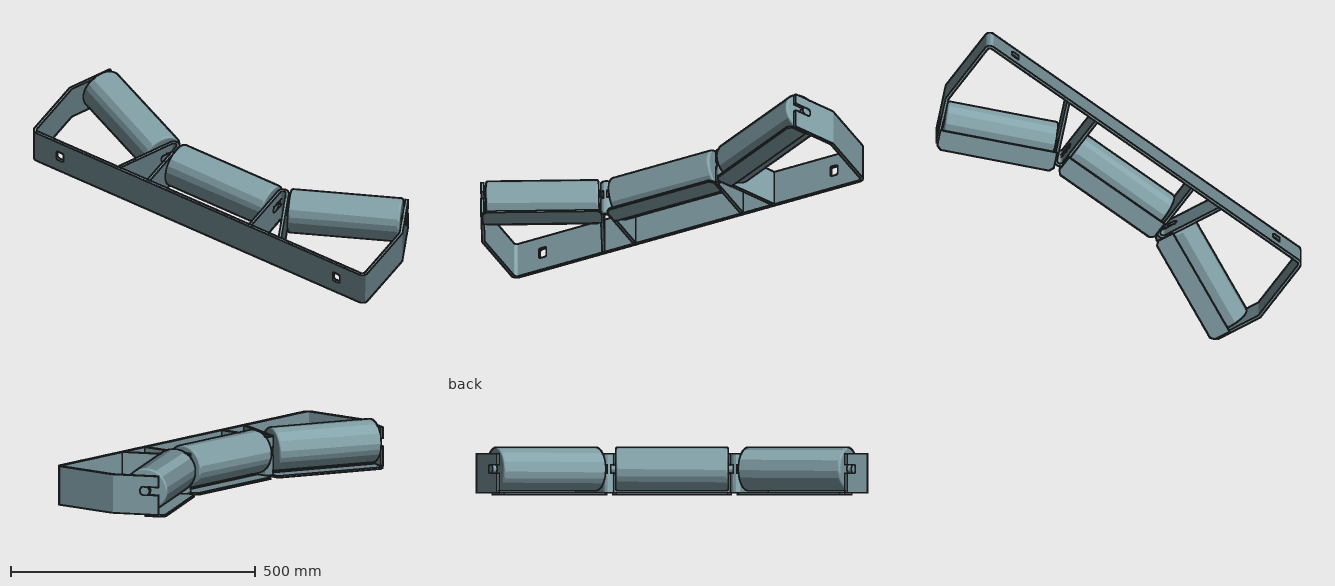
import cadquery as cq
import math

frame_length = 800.0
frame_height = 80.0
sheet = 6.0
bend_radius = 12.0
tilt = 25.0

mount_spacing = 664.0
mount_width = 17.0
mount_height = 24.0
mount_corner = 4.0
mount_z = 42.0

roller_diameter = 90.0
roller_length = 230.0
roller_edge_radius = 5.0
axle_diameter = 20.0
axle_flats = 17.0
axle_round_length = 235.0

sheet_gap = 238.0
axis_height = 49.0
middle_axis_y = 100.0
outer_axis_y = 158.0
bracket_bend_y = 118.0
arm_tip_reach = 29.0

plate_length = 243.0
plate_width = 42.0
plate_thickness = 4.0
plate_chamfer = 8.0

sin_tilt = math.sin(math.radians(tilt))
cos_tilt = math.cos(math.radians(tilt))
inner_bend_radius = bend_radius - sheet
inner_face = sheet_gap / 2
outer_face = inner_face + sheet
axle_length = 2 * outer_face

bracket_bend_x = inner_face + bend_radius
axis_rise = outer_axis_y - bracket_bend_y
outer_axis_x = bracket_bend_x + (bracket_bend_x - axis_rise * sin_tilt) / cos_tilt

stations = [
    (-outer_axis_x, outer_axis_y, -tilt),
    (0, middle_axis_y, 0),
    (outer_axis_x, outer_axis_y, tilt),
]


def at_station(body, station):
    """Move a body, drawn about the origin with its roller axis along X, to its station."""
    x, y, turn = station
    return body.rotate((0, 0, 0), (0, 0, 1), turn).translate((x, y, 0))


def axle_bar(length):
    """Round bar along X, centred at the axle height."""
    bar = cq.Workplane("YZ").circle(axle_diameter / 2).extrude(length)
    return bar.translate((-length / 2, 0, axis_height))


def flattened_axle():
    """Axle over its full length with a flat above and below."""
    flats = cq.Workplane("XY").box(axle_length, axle_diameter, axle_flats)
    return axle_bar(axle_length).intersect(flats.translate((0, 0, axis_height)))


def make_roller():
    """Cylinder with rounded ends, in one piece with its axle."""
    shell = cq.Workplane("YZ").circle(roller_diameter / 2).extrude(roller_length)
    shell = shell.edges().fillet(roller_edge_radius)
    shell = shell.translate((-roller_length / 2, 0, axis_height))
    return shell.union(axle_bar(axle_round_length)).union(flattened_axle())


def make_plate():
    """Flat plate below the rear half of a roller, with its two rear corners cut off."""
    plate = cq.Workplane("XY").rect(plate_length, plate_width).extrude(-plate_thickness)
    plate = plate.translate((0, plate_width / 2, 0))
    return plate.edges("|Z and >Y").chamfer(plate_chamfer)


def cut_axle_slots(body):
    """Cut the slots that hold the axles and are open to the rear."""
    mouth = cq.Workplane("XY").box(axle_length, roller_diameter, axle_flats, centered=(True, False, True))
    slot = flattened_axle().union(mouth.translate((0, 0, axis_height)))
    for station in stations:
        body = body.cut(at_station(slot, station))
    return body


def round_bends(bar, corners, radius):
    """Round the upright edges at the given corners and at their mirror images."""
    for x, y in corners:
        for side in (-1, 1):
            corner = (side * x, y, frame_height / 2)
            bar = bar.edges(cq.selectors.NearestToPointSelector(corner)).fillet(radius)
    return bar


def frame_bar():
    """Bent bar whose arms run along the outer ends of the outer rollers."""
    half = frame_length / 2
    bend_y = outer_axis_y + (outer_face - (half - outer_axis_x) * cos_tilt) / sin_tilt
    inner_bend_y = bend_y - sheet * math.tan(math.radians(tilt / 2))
    tip_x = outer_axis_x + outer_face * cos_tilt - arm_tip_reach * sin_tilt
    tip_y = outer_axis_y + outer_face * sin_tilt + arm_tip_reach * cos_tilt
    inner_tip = (tip_x - sheet * cos_tilt, tip_y - sheet * sin_tilt)
    right_side = [
        (half, 0),
        (half, bend_y),
        (tip_x, tip_y),
        inner_tip,
        (half - sheet, inner_bend_y),
        (half - sheet, sheet),
    ]
    left_side = [(-x, y) for x, y in reversed(right_side)]
    bar = cq.Workplane("XY").polyline(right_side + left_side).close().extrude(frame_height)
    outer_bends = [(half, 0), (half, bend_y)]
    inner_bends = [(half - sheet, sheet), (half - sheet, inner_bend_y)]
    bar = round_bends(bar, outer_bends, bend_radius)
    return round_bends(bar, inner_bends, inner_bend_radius)


def cut_mounting_slots(bar):
    cutter = (
        cq.Workplane("XZ", origin=(0, 0, mount_z))
        .pushPoints([(-mount_spacing / 2, 0), (mount_spacing / 2, 0)])
        .rect(mount_width, mount_height)
        .extrude(-sheet)
        .edges("|Y")
        .fillet(mount_corner)
    )
    return bar.cut(cutter)


def make_bracket():
    """Left bracket: an upright leg by the middle roller, a bend and a leaning leg."""

    def on_bend(radius, angle):
        turn = math.radians(angle)
        return (-bracket_bend_x + radius * math.cos(turn), bracket_bend_y + radius * math.sin(turn))

    def leg_foot(radius):
        """Point where a face of the leaning leg meets the back of the frame bar."""
        x, y = on_bend(radius, 180 - tilt)
        return (x - (y - sheet) * sin_tilt / cos_tilt, sheet)

    crown = 90 - tilt / 2
    bracket = (
        cq.Workplane("XY")
        .moveTo(-inner_face, sheet)
        .lineTo(*on_bend(bend_radius, 0))
        .threePointArc(on_bend(bend_radius, crown), on_bend(bend_radius, 180 - tilt))
        .lineTo(*leg_foot(bend_radius))
        .lineTo(*leg_foot(inner_bend_radius))
        .lineTo(*on_bend(inner_bend_radius, 180 - tilt))
        .threePointArc(on_bend(inner_bend_radius, crown), on_bend(inner_bend_radius, 0))
        .lineTo(-outer_face, sheet)
        .close()
        .extrude(frame_height)
    )
    return cut_axle_slots(bracket)


frame = cut_axle_slots(cut_mounting_slots(frame_bar()))
left_bracket = make_bracket()
brackets = [left_bracket, left_bracket.mirror("YZ")]
rollers = [at_station(make_roller(), station) for station in stations]
plates = [at_station(make_plate(), station) for station in stations]

result = cq.Compound.makeCompound([body.val() for body in [frame, *brackets, *rollers, *plates]])